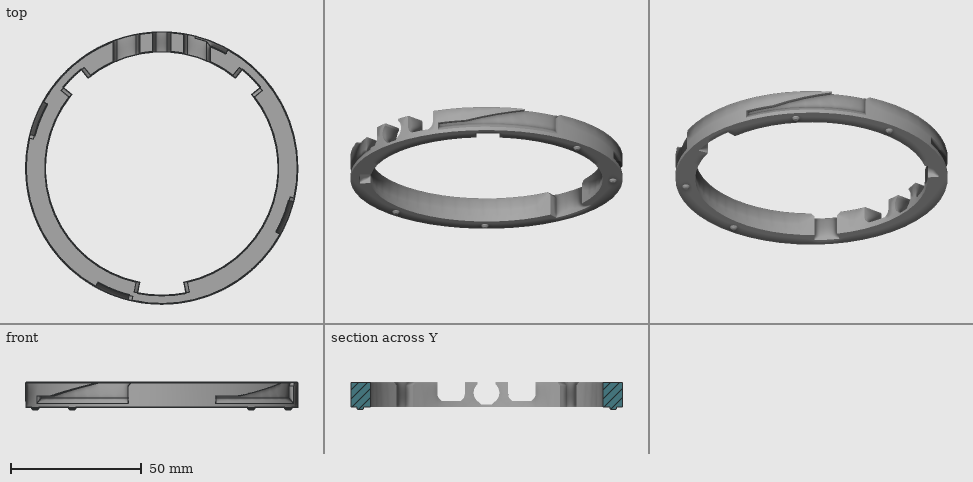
import cadquery as cq
import math

OUTER_RADIUS = 52.0
INNER_RADIUS = 44.4
RING_HEIGHT = 9.6
EDGE_CHAMFER = 0.3
OVERCUT = 1.0

GROOVE_COUNT = 4
GROOVE_FLOOR_RADIUS = 50.2
GROOVE_OUTER_Z = 1.4
GROOVE_INNER_Z = 3.5
GROOVE_ROOF_Z = 4.4
GROOVE_START_ANGLE = 203.4
RAMP_START_ANGLE = 215.4
RAMP_END_ANGLE = 243.0
ENTRY_START_ANGLE = 240.8
GROOVE_END_ANGLE = 255.7

NOTCHES = [(45.0, 5.7), (135.0, 5.7), (270.0, 10.9)]
NOTCH_RADIUS = 48.5
LEAD_IN = 1.4

SIDE_SLOT_FLOOR_Z = 2.3
SLOT_BEVEL = 1.15
SIDE_SLOT_CENTER = 13.5
SIDE_SLOT_HALF_WIDTH = 5.2
SIDE_SLOT_ARC_WIDTH = 0.45
SIDE_SLOT_ARC_HEIGHT = 1.55
CLIP_FLOOR_Z = 1.0
CLIP_FLOOR_HALF_WIDTH = 2.1
CLIP_MOUTH_HALF_WIDTH = 3.5
CLIP_BELLY_HALF_WIDTH = 4.9
CLIP_LIP_Z = 8.6

PIN_ANGLES = [180, 225, 315, 0]
PIN_CIRCLE_RADIUS = 48.3
PIN_DIAMETER = 2.8
PIN_LENGTH = 1.0
PIN_CHAMFER = 0.6


def sector(profile, start_angle, end_angle):
    """Revolve an (r, z) polygon about Z between two angles in degrees."""
    body = cq.Workplane("XZ").polyline(profile).close().revolve(end_angle - start_angle, (0, 0), (0, 1))
    return body.rotate((0, 0, 0), (0, 0, 1), start_angle)


def top_lead_in(angle, direction, inner_radius, outer_radius):
    """Wedge that bevels the top of a radial wall; direction is the side of the material."""
    triangle = [
        (0, RING_HEIGHT - LEAD_IN),
        (0, RING_HEIGHT),
        (direction * LEAD_IN, RING_HEIGHT),
    ]
    wedge = cq.Workplane("YZ", origin=(inner_radius, 0, 0)).polyline(triangle).close()
    return wedge.extrude(outer_radius - inner_radius).rotate((0, 0, 0), (0, 0, 1), angle)


def make_ring():
    ring = cq.Workplane("XY").circle(OUTER_RADIUS).circle(INNER_RADIUS).extrude(RING_HEIGHT)
    return ring.faces(">Z").edges().chamfer(EDGE_CHAMFER)


def make_groove_ramp():
    """Space below a roof that climbs along a helix from the groove roof to the top face."""
    past_outer = OUTER_RADIUS + OVERCUT
    climb = RING_HEIGHT - GROOVE_ROOF_Z
    sweep_angle = RAMP_END_ANGLE - RAMP_START_ANGLE
    space = sector(
        [
            (GROOVE_FLOOR_RADIUS, GROOVE_ROOF_Z),
            (past_outer, GROOVE_ROOF_Z),
            (past_outer, RING_HEIGHT),
            (GROOVE_FLOOR_RADIUS, RING_HEIGHT),
        ],
        RAMP_START_ANGLE,
        RAMP_END_ANGLE,
    )
    helix = cq.Wire.makeHelix(climb * 360 / sweep_angle, climb, OUTER_RADIUS)
    roof_block = (
        cq.Workplane("XZ")
        .polyline(
            [
                (GROOVE_FLOOR_RADIUS - OVERCUT, 0),
                (past_outer + OVERCUT, 0),
                (past_outer + OVERCUT, climb + OVERCUT),
                (GROOVE_FLOOR_RADIUS - OVERCUT, climb + OVERCUT),
            ]
        )
        .close()
        .sweep(cq.Workplane(helix), isFrenet=True)
        .rotate((0, 0, 0), (0, 0, 1), RAMP_START_ANGLE)
        .translate((0, 0, GROOVE_ROOF_Z))
    )
    return space.cut(roof_block)


def make_groove():
    past_outer = OUTER_RADIUS + OVERCUT
    wall_slope = (GROOVE_INNER_Z - GROOVE_OUTER_Z) / (OUTER_RADIUS - GROOVE_FLOOR_RADIUS)
    past_outer_z = GROOVE_OUTER_Z - wall_slope * OVERCUT
    channel = sector(
        [
            (GROOVE_FLOOR_RADIUS, GROOVE_INNER_Z),
            (past_outer, past_outer_z),
            (past_outer, GROOVE_ROOF_Z),
            (GROOVE_FLOOR_RADIUS, GROOVE_ROOF_Z),
        ],
        GROOVE_START_ANGLE,
        GROOVE_END_ANGLE,
    )
    entry = sector(
        [
            (GROOVE_FLOOR_RADIUS, GROOVE_INNER_Z),
            (past_outer, GROOVE_INNER_Z),
            (past_outer, RING_HEIGHT),
            (GROOVE_FLOOR_RADIUS - EDGE_CHAMFER, RING_HEIGHT),
            (GROOVE_FLOOR_RADIUS, RING_HEIGHT - EDGE_CHAMFER),
        ],
        ENTRY_START_ANGLE,
        GROOVE_END_ANGLE,
    )
    end_bevel = top_lead_in(GROOVE_END_ANGLE, 1, GROOVE_FLOOR_RADIUS, past_outer)
    return channel.union(make_groove_ramp()).union(entry).union(end_bevel)


def make_notch(center_angle, half_angle):
    past_inner = INNER_RADIUS - OVERCUT
    first_wall = center_angle - half_angle
    second_wall = center_angle + half_angle
    opening = sector(
        [
            (past_inner, 0),
            (NOTCH_RADIUS, 0),
            (NOTCH_RADIUS, RING_HEIGHT - EDGE_CHAMFER),
            (NOTCH_RADIUS + EDGE_CHAMFER, RING_HEIGHT),
            (past_inner, RING_HEIGHT),
        ],
        first_wall,
        second_wall,
    )
    first_bevel = top_lead_in(first_wall, -1, past_inner, NOTCH_RADIUS)
    second_bevel = top_lead_in(second_wall, 1, past_inner, NOTCH_RADIUS)
    return opening.union(first_bevel).union(second_bevel)


def make_side_slot(center_x):
    """Straight slot; each wall ends in an arc tangent to it, then a bevel down to the floor."""
    wall = SIDE_SLOT_HALF_WIDTH
    bevel_top_x = wall - SIDE_SLOT_ARC_WIDTH
    bevel_top_z = SIDE_SLOT_FLOOR_Z + SLOT_BEVEL
    floor_x = bevel_top_x - SLOT_BEVEL
    arc_top_z = bevel_top_z + SIDE_SLOT_ARC_HEIGHT
    arc_radius = (SIDE_SLOT_ARC_WIDTH**2 + SIDE_SLOT_ARC_HEIGHT**2) / (2 * SIDE_SLOT_ARC_WIDTH)
    half_arc_angle = math.asin(SIDE_SLOT_ARC_HEIGHT / arc_radius) / 2
    mid_x = wall - arc_radius * (1 - math.cos(half_arc_angle))
    mid_z = arc_top_z - arc_radius * math.sin(half_arc_angle)
    outline = (
        cq.Workplane("XZ")
        .moveTo(-floor_x, SIDE_SLOT_FLOOR_Z)
        .lineTo(floor_x, SIDE_SLOT_FLOOR_Z)
        .lineTo(bevel_top_x, bevel_top_z)
        .threePointArc((mid_x, mid_z), (wall, arc_top_z))
        .lineTo(wall, RING_HEIGHT)
        .lineTo(-wall, RING_HEIGHT)
        .lineTo(-wall, arc_top_z)
        .threePointArc((-mid_x, mid_z), (-bevel_top_x, bevel_top_z))
        .close()
    )
    return outline.extrude(-(OUTER_RADIUS + OVERCUT)).translate((center_x, 0, 0))


def make_clip_slot():
    """Middle slot with bulging walls and a narrower mouth."""
    bevel_top_x = CLIP_FLOOR_HALF_WIDTH + SLOT_BEVEL
    bevel_top_z = CLIP_FLOOR_Z + SLOT_BEVEL
    belly_z = (bevel_top_z + CLIP_LIP_Z) / 2
    outline = (
        cq.Workplane("XZ")
        .moveTo(-CLIP_FLOOR_HALF_WIDTH, CLIP_FLOOR_Z)
        .lineTo(CLIP_FLOOR_HALF_WIDTH, CLIP_FLOOR_Z)
        .lineTo(bevel_top_x, bevel_top_z)
        .threePointArc((CLIP_BELLY_HALF_WIDTH, belly_z), (CLIP_MOUTH_HALF_WIDTH, CLIP_LIP_Z))
        .lineTo(CLIP_MOUTH_HALF_WIDTH, RING_HEIGHT)
        .lineTo(-CLIP_MOUTH_HALF_WIDTH, RING_HEIGHT)
        .lineTo(-CLIP_MOUTH_HALF_WIDTH, CLIP_LIP_Z)
        .threePointArc((-CLIP_BELLY_HALF_WIDTH, belly_z), (-bevel_top_x, bevel_top_z))
        .close()
    )
    return outline.extrude(-(OUTER_RADIUS + OVERCUT))


def make_pin(angle):
    x = PIN_CIRCLE_RADIUS * math.cos(math.radians(angle))
    y = PIN_CIRCLE_RADIUS * math.sin(math.radians(angle))
    pin = cq.Workplane("XY", origin=(x, y, -PIN_LENGTH)).circle(PIN_DIAMETER / 2)
    return pin.extrude(PIN_LENGTH + OVERCUT).faces("<Z").edges().chamfer(PIN_CHAMFER)


result = make_ring()

groove = make_groove()
for index in range(GROOVE_COUNT):
    result = result.cut(groove.rotate((0, 0, 0), (0, 0, 1), index * 360 / GROOVE_COUNT))

for center_angle, half_angle in NOTCHES:
    result = result.cut(make_notch(center_angle, half_angle))

for side in (-1, 1):
    result = result.cut(make_side_slot(side * SIDE_SLOT_CENTER))
result = result.cut(make_clip_slot())

for pin_angle in PIN_ANGLES:
    result = result.union(make_pin(pin_angle))